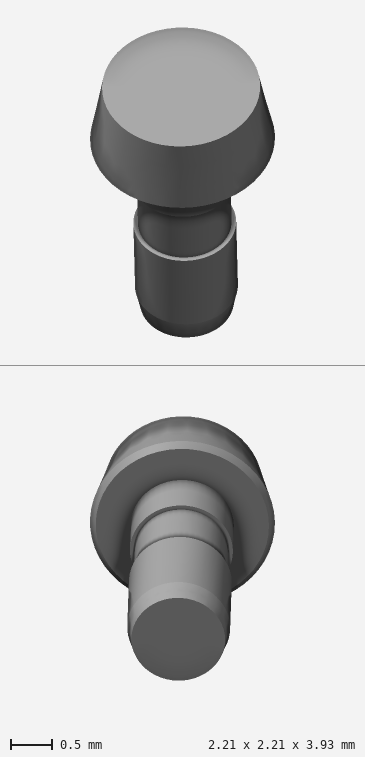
import cadquery as cq
import math

head_top_diameter = 1.89
head_rim_diameter = 2.21
shank_diameter = 1.23
neck_diameter = 1.12
tip_diameter = 1.12

head_height = 1.0
head_chamfer = 0.07
shoulder_length = 0.65
neck_length = 0.80
shank_length = 1.15
tip_length = 0.30

lean_x = 0.0169
lean_y = 0.0084

rim_height = head_chamfer
neck_top = -shoulder_length
neck_bottom = neck_top - neck_length
tip_start = neck_bottom - shank_length
tip_end = tip_start - tip_length


def turned_pin():
    """Head, shoulder, neck, shank and tapered tip as one revolved outline."""
    head_top_radius = head_top_diameter / 2
    rim_radius = head_rim_diameter / 2
    shank_radius = shank_diameter / 2
    neck_radius = neck_diameter / 2
    tip_radius = tip_diameter / 2
    outline = (
        cq.Workplane("XZ")
        .moveTo(0, head_height)
        .lineTo(head_top_radius, head_height)
        .lineTo(rim_radius, rim_height)
        .lineTo(rim_radius - head_chamfer, 0)
        .lineTo(shank_radius, 0)
        .lineTo(shank_radius, neck_top)
        .lineTo(neck_radius, neck_top)
        .lineTo(neck_radius, neck_bottom)
        .lineTo(shank_radius, neck_bottom)
        .lineTo(shank_radius, tip_start)
        .lineTo(tip_radius, tip_end)
        .lineTo(0, tip_end)
        .close()
    )
    return outline.revolve(360, (0, 0, 0), (0, 1, 0))


def lean(pin):
    """Tilt the upright pin so that its head leans towards -X and -Y."""
    tilt = math.degrees(math.atan(math.hypot(lean_x, lean_y)))
    hinge_end = (lean_y, -lean_x, 0)
    return pin.rotate((0, 0, 0), hinge_end, tilt)


result = lean(turned_pin())